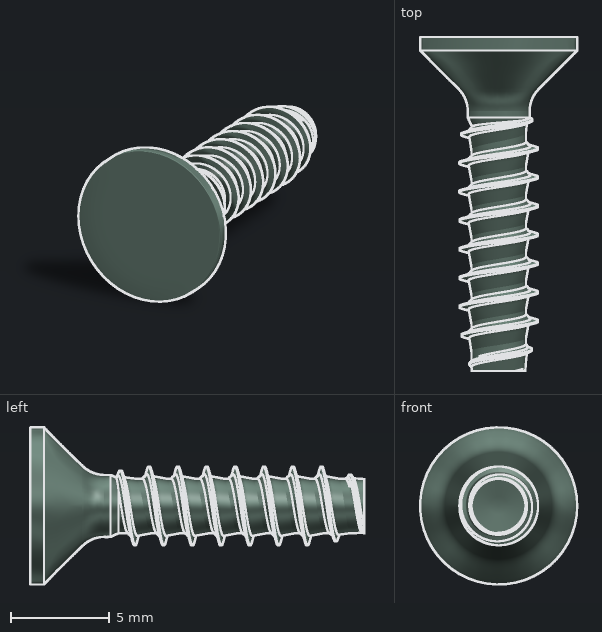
import cadquery as cq
import math


length = 17.0

head_diameter = 8.0
head_radius = head_diameter / 2
rim_height = 0.7
rim_edge_radius = 0.05
neck_angle = 45.0
neck_fillet = 1.6

shank_radius = 1.58
core_radius = 1.4
core_cone_start = 4.1
core_cone_end = 4.5
tip_radius = 1.36
tip_taper_length = 0.42
tip_recess_depth = 0.07

pitch = 1.46
crest_radius = 2.0
crest_width = 0.05
full_thread_start = 5.32
full_thread_turn = -0.25
full_thread_turns = 6.5
lead_in_turns = 1.0
lead_out_turns = 1.5
buried_root = core_radius - 0.1

fade_radius = 1.35
lead_in_fade = 0.59
lead_out_fade = 0.92

ridge_profile = [
    (buried_root, -0.34),
    (core_radius, -0.34),
    (1.62, -0.12),
    (crest_radius, -crest_width / 2),
    (crest_radius, crest_width / 2),
    (1.53, 0.14),
    (core_radius, 0.87),
    (buried_root, 0.87),
]


def make_body():
    """Head, neck, shank and core turned about the axis."""
    bend = math.radians(neck_angle)
    neck_start_radius = shank_radius + neck_fillet * (1 - math.cos(bend))
    neck_start = rim_height + (head_radius - neck_start_radius) / math.tan(bend)
    neck_end = neck_start + neck_fillet * math.sin(bend)
    neck_mid_radius = shank_radius + neck_fillet * (1 - math.cos(bend / 2))
    neck_mid = neck_end - neck_fillet * math.sin(bend / 2)
    outline = (
        cq.Workplane("XZ")
        .lineTo(head_radius, 0)
        .lineTo(head_radius, rim_height)
        .lineTo(neck_start_radius, neck_start)
        .threePointArc((neck_mid_radius, neck_mid), (shank_radius, neck_end))
        .lineTo(shank_radius, core_cone_start)
        .lineTo(core_radius, core_cone_end)
        .lineTo(core_radius, length - tip_taper_length)
        .lineTo(tip_radius, length)
        .lineTo(0, length)
        .close()
    )
    body = outline.revolve(360, (0, 0, 0), (0, 1, 0))
    return body.faces("<Z").edges().fillet(rim_edge_radius)


def helix(radius, start_height, start_turn, turns, growth):
    """Helix whose radius changes by growth in every turn."""
    slope = math.atan2(growth, pitch)
    slant = pitch / math.cos(slope)
    if growth:
        wire = cq.Wire.makeHelix(slant, slant * turns, radius, angle=math.degrees(slope))
    else:
        wire = cq.Wire.makeHelix(pitch, pitch * turns, radius)
    wire = wire.rotate(cq.Vector(0, 0, 0), cq.Vector(0, 0, 1), 360 * start_turn)
    return wire.translate(cq.Vector(0, 0, start_height)).Edges()[0]


def faded(radius, fade):
    """Radius of a profile corner after fading; the buried root keeps its size."""
    return radius - fade * max(radius - fade_radius, 0)


def helical_faces(crest, turn, turns, start_fade, end_fade):
    """Surfaces of one stretch of thread, ruled between helices through the profile corners."""
    rails = []
    for radius, offset in ridge_profile:
        start_radius = faded(radius, start_fade)
        growth = (faded(radius, end_fade) - start_radius) / turns
        rails.append(helix(start_radius, crest + offset, turn, turns, growth))
    return [
        cq.Face.makeRuledSurface(rail, next_rail)
        for rail, next_rail in zip(rails, rails[1:] + rails[:1])
    ]


def end_cap(crest, turn, fade):
    """Flat section that closes the thread at one end."""
    angle = 2 * math.pi * turn
    corners = []
    for radius, offset in ridge_profile:
        end_radius = faded(radius, fade)
        corners.append(
            cq.Vector(end_radius * math.cos(angle), end_radius * math.sin(angle), crest + offset)
        )
    return cq.Face.makeFromWires(cq.Wire.makePolygon(corners, close=True))


def make_thread():
    """Right-hand thread that rises out of the shank and fades out near the tip."""
    stretches = [
        (lead_in_turns, lead_in_fade, 0),
        (full_thread_turns, 0, 0),
        (lead_out_turns, 0, lead_out_fade),
    ]
    turn = full_thread_turn - lead_in_turns
    crest = full_thread_start - lead_in_turns * pitch
    faces = [end_cap(crest, turn, lead_in_fade)]
    for turns, start_fade, end_fade in stretches:
        faces += helical_faces(crest, turn, turns, start_fade, end_fade)
        turn += turns
        crest += turns * pitch
    faces.append(end_cap(crest, turn, lead_out_fade))
    return cq.Workplane(obj=cq.Solid.makeSolid(cq.Shell.makeShell(faces)))


def make_tip_trim():
    """Everything beyond the tip, including its shallow conical hollow."""
    return (
        cq.Workplane("XZ")
        .moveTo(0, length - tip_recess_depth)
        .lineTo(tip_radius, length)
        .lineTo(head_radius, length)
        .lineTo(head_radius, length + pitch)
        .lineTo(0, length + pitch)
        .close()
        .revolve(360, (0, 0, 0), (0, 1, 0))
    )


screw = make_body().union(make_thread()).cut(make_tip_trim())
result = screw.rotate((0, 0, 0), (1, 0, 0), 90)